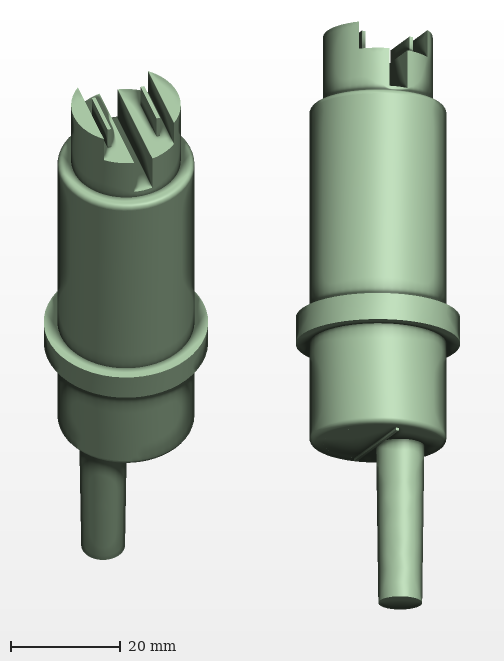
import cadquery as cq

housing_radius = 12.5
housing_height = 64.0
housing_edge_fillet = 1.0
flange_radius = 15.0
flange_thickness = 5.0
flange_bottom = 19.0

core_radius = 10.0
core_proud = 0.5
core_top = housing_height + core_proud

tip_radius = core_radius
tip_height = 13.2
tip_top = core_top + tip_height
shoulder_height = 8.0
shoulder_top = core_top + shoulder_height
shoulder_gap = 13.5
slot_width = 3.5
slot_floor_thickness = 0.8
slot_floor = core_top + slot_floor_thickness

blade_length = 9.0
blade_thickness = 0.7
blade_spacing = 9.4
blade_below_tip = 0.7
blade_top = tip_top - blade_below_tip

board_thickness = 0.6
board_proud = 0.5
board_depth = 10.0

cable_length = 30.0
cable_top_radius = 4.4
cable_end_radius = 4.0
cable_y = -cable_top_radius


def cylinder(radius, bottom, top):
    """Upright cylinder on the main axis."""
    return cq.Workplane("XY").workplane(offset=bottom).circle(radius).extrude(top - bottom)


def block(length_x, length_y, bottom, top, y=0.0):
    """Upright box centred on x = 0 and on the given y."""
    base = cq.Workplane("XY").workplane(offset=bottom).center(0, y)
    return base.rect(length_x, length_y).extrude(top - bottom)


def make_housing():
    tube = cylinder(housing_radius, 0, housing_height)
    tube = tube.faces("<Z or >Z").edges().fillet(housing_edge_fillet)
    flange = cylinder(flange_radius, flange_bottom, flange_bottom + flange_thickness)
    bore = cylinder(core_radius, 0, housing_height)
    return tube.union(flange).cut(bore)


def make_board():
    """Thin board whose side edges follow the wall of the bore."""
    board = block(2 * core_radius, board_thickness, -board_proud, board_depth, board_thickness / 2)
    return board.intersect(cylinder(core_radius, -board_proud, board_depth))


def make_core(board):
    return cylinder(core_radius, 0, core_top).cut(board)


def make_blade(side):
    """Blade on the +Y (side = 1) or -Y (side = -1) shoulder, reaching down to the core."""
    return block(blade_length, blade_thickness, core_top, blade_top, side * blade_spacing / 2)


def make_tip(blades):
    tip = cylinder(tip_radius, core_top, tip_top)
    tip = tip.cut(block(2 * tip_radius, shoulder_gap, shoulder_top, tip_top))
    tip = tip.cut(block(2 * tip_radius, slot_width, slot_floor, tip_top))
    for blade in blades:
        tip = tip.cut(blade)
    return tip


def make_cable():
    top = cq.Workplane("XY").center(0, cable_y).circle(cable_top_radius)
    return top.workplane(offset=-cable_length).circle(cable_end_radius).loft(ruled=True)


housing = make_housing()
board = make_board()
core = make_core(board)
blades = [make_blade(side) for side in (-1, 1)]
tip = make_tip(blades)
cable = make_cable()

result = cq.Compound.makeCompound([
    housing.val(),
    core.val(),
    tip.val(),
    *[blade.val() for blade in blades],
    board.val(),
    cable.val(),
])